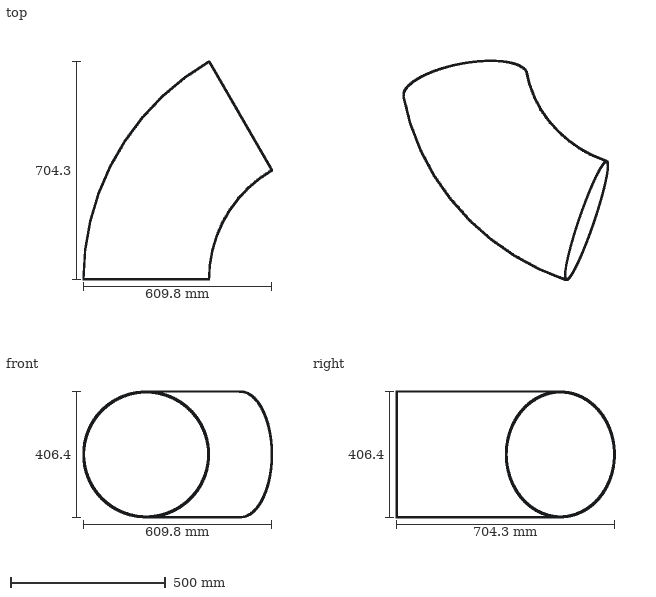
import cadquery as cq

outer_diameter = 406.4
wall_thickness = 3.0
bend_radius = 610.0
bend_angle = 60.0

inner_diameter = outer_diameter - 2 * wall_thickness


def make_elbow():
    """Revolve the tube's ring section about a bend axis parallel to Z, toward +X."""
    ring_section = (
        cq.Workplane("XZ")
        .circle(outer_diameter / 2)
        .circle(inner_diameter / 2)
    )
    axis_start = (bend_radius, 0)
    axis_end = (bend_radius, -1)
    return ring_section.revolve(bend_angle, axis_start, axis_end)


result = make_elbow()